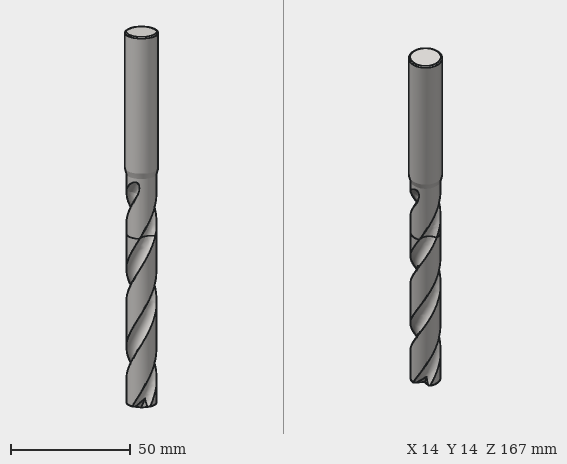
import cadquery as cq
import math


overall_length = 167.0
shank_diameter = 14.0
shank_chamfer = 0.6
cone_top_height = 106.4
cone_bottom_height = 103.8

drill_diameter = 12.7
point_angle = 140.0
split_height = 77.2

flute_count = 2
helix_angle = 30.0
flute_radius = 4.8
flute_offset = 8.2
flute_start_angle = -87.0
flute_end_height = 96.0

runout_length = 20.0
runout_outward_angle = 13.0
runout_sideways_angle = 42.0

gash_root_bottom = cq.Vector(0, -0.4, 0.25)
gash_root_top = cq.Vector(2.45, -2.7, 5.4)
gash_relief_corner = cq.Vector(-2.3, -5.7, 1.7)
gash_rake_corner = cq.Vector(3.3, -3.2, 2.65)
gash_face_width = drill_diameter
gash_root_lengths = 4

drill_radius = drill_diameter / 2
shank_radius = shank_diameter / 2
point_length = drill_radius / math.tan(math.radians(point_angle / 2))
flute_lead = math.pi * drill_diameter / math.tan(math.radians(helix_angle))
flute_twist = 360 * flute_end_height / flute_lead


def turned_about_axis(shape, angle):
    """Copy of a shape, turned about the drill axis."""
    return shape.rotate((0, 0, 0), (0, 0, 1), angle)


def drill_blank():
    """Turned outline of the whole drill."""
    return (
        cq.Workplane("XZ")
        .moveTo(0, 0)
        .lineTo(drill_radius, point_length)
        .lineTo(drill_radius, cone_bottom_height)
        .lineTo(shank_radius, cone_top_height)
        .lineTo(shank_radius, overall_length - shank_chamfer)
        .lineTo(shank_radius - shank_chamfer, overall_length)
        .lineTo(0, overall_length)
        .close()
        .revolve(360, (0, 0, 0), (0, 1, 0))
    )


def helical_groove():
    """Round groove that winds up from the point to the flute end."""
    return (
        cq.Workplane("XY")
        .pushPoints([(flute_offset, 0)])
        .circle(flute_radius)
        .twistExtrude(flute_end_height, flute_twist)
    )


def runout_groove():
    """Straight groove that carries on from the helix and slants out through the surface."""
    outward = runout_length * math.tan(math.radians(runout_outward_angle))
    sideways = runout_length * math.tan(math.radians(runout_sideways_angle))
    centre = cq.Vector(flute_offset, 0, flute_end_height)
    profile = cq.Wire.makeCircle(flute_radius, centre, cq.Vector(0, 0, 1))
    direction = cq.Vector(outward, sideways, runout_length)
    groove = cq.Solid.extrudeLinear(profile, [], direction)
    return turned_about_axis(cq.Workplane(groove), flute_twist)


def gash():
    """V-shaped notch that rises along its root from the middle of the point into the flute."""
    root = gash_root_top - gash_root_bottom
    start = gash_root_bottom - root
    outline = [start]
    for corner in (gash_relief_corner, gash_rake_corner):
        side = corner - gash_root_bottom
        square_to_root = side - side.projectToLine(root)
        outline.append(start + square_to_root.normalized() * gash_face_width)
    profile = cq.Wire.makePolygon(outline, close=True)
    return cq.Workplane(cq.Solid.extrudeLinear(profile, [], root * gash_root_lengths))


drill = drill_blank()
for index in range(flute_count):
    flute_angle = index * 360 / flute_count
    drill = drill.cut(turned_about_axis(helical_groove(), flute_start_angle + flute_angle))
    drill = drill.cut(turned_about_axis(runout_groove(), flute_start_angle + flute_angle))
    drill = drill.cut(turned_about_axis(gash(), flute_angle))

below_split = cq.Workplane("XY").circle(shank_diameter).extrude(split_height)
cutting_part = drill.intersect(below_split)
shank_body = drill.cut(below_split)

result = cq.Compound.makeCompound([cutting_part.val(), shank_body.val()])